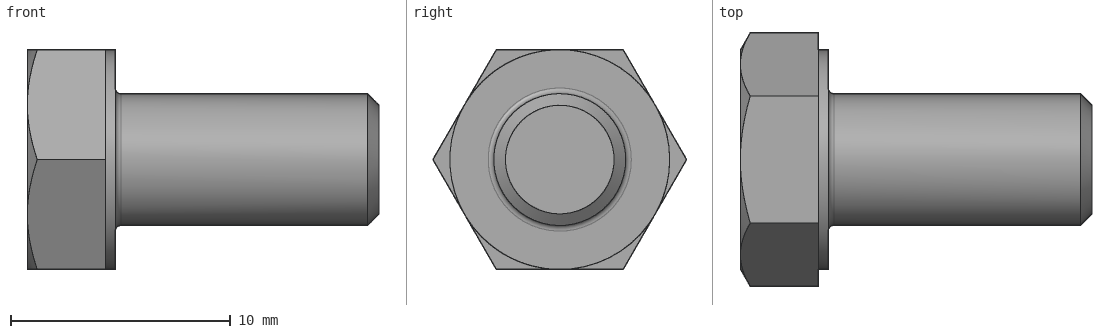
import cadquery as cq
import math

total_length = 16
across_flats = 10.0
head_height = 4
washer_thickness = 0.45
shank_diameter = 6.0
tip_chamfer = 0.53
neck_fillet = 0.25
head_chamfer_angle = 30

flat_radius = across_flats / 2
across_corners = across_flats / math.cos(math.radians(30))
shank_radius = shank_diameter / 2
hex_height = head_height - washer_thickness


def make_head():
    """Hexagon with flats facing +Z and -Z, its outer corners cut by a cone."""
    hexagon = cq.Workplane("YZ").polygon(6, across_corners).extrude(hex_height)
    cone_base_radius = flat_radius + hex_height / math.tan(math.radians(head_chamfer_angle))
    cone = (
        cq.Workplane("XY")
        .moveTo(0, 0)
        .lineTo(0, flat_radius)
        .lineTo(hex_height, cone_base_radius)
        .lineTo(hex_height, 0)
        .close()
        .revolve(360, (0, 0, 0), (1, 0, 0))
    )
    return hexagon.intersect(cone)


def make_shank():
    """Washer face, filleted neck and chamfered shank as one turned profile."""
    arc_offset = neck_fillet * (1 - math.sqrt(0.5))
    return (
        cq.Workplane("XY")
        .moveTo(hex_height, 0)
        .lineTo(hex_height, flat_radius)
        .lineTo(head_height, flat_radius)
        .lineTo(head_height, shank_radius + neck_fillet)
        .threePointArc(
            (head_height + arc_offset, shank_radius + arc_offset),
            (head_height + neck_fillet, shank_radius),
        )
        .lineTo(total_length - tip_chamfer, shank_radius)
        .lineTo(total_length, shank_radius - tip_chamfer)
        .lineTo(total_length, 0)
        .close()
        .revolve(360, (0, 0, 0), (1, 0, 0))
    )


result = make_head().union(make_shank())